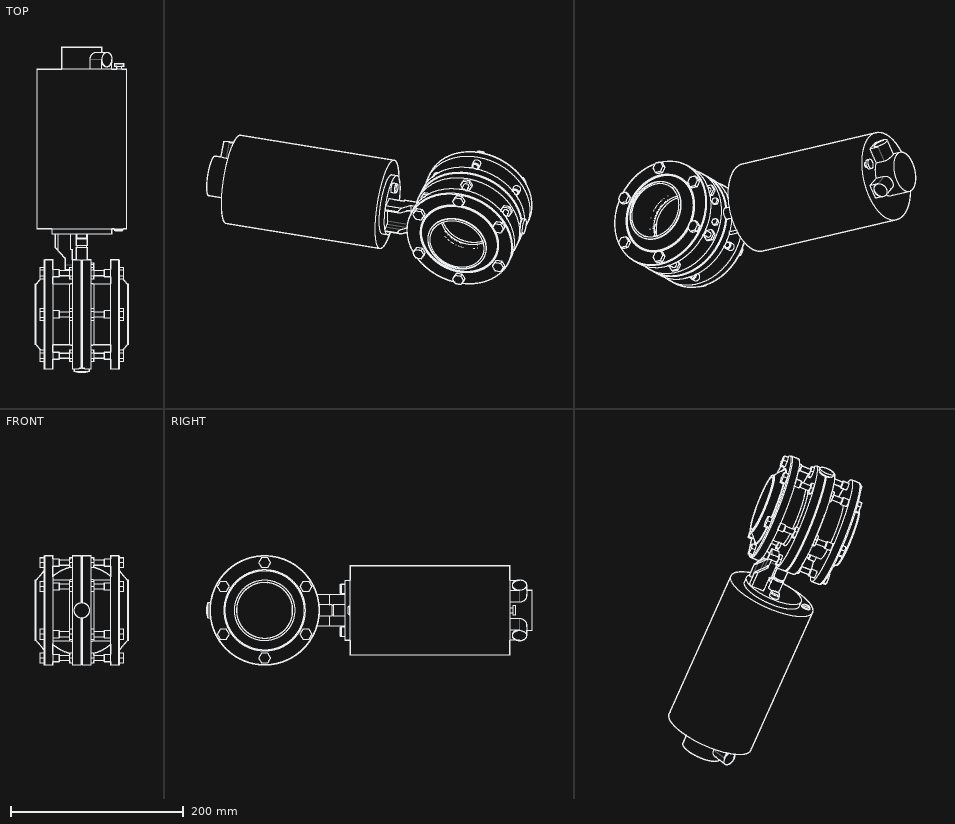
import cadquery as cq
import math


overall_width = 108.31
overall_length = 377.46

flange_radius = 63.5
bore_radius = 32.5
neck_radius = 35.3
housing_half_width = 11.0
neck_end = 14.2
seam_width = 1.2
seam_depth = 0.6
neck_root_radius = 36.2
spigot_radius = 33.9
spigot_end = 7.5

end_flange_inner = 33.4
end_flange_outer = 43.9
flange_edge_axial = 1.5
flange_edge_radial = 0.5
recess_radius = 47.2
recess_depth = 1.0
weld_end_face = overall_width / 2
cone_root_radius = 45.9
stub_radius = 35.1
stub_start = 53.0

bolt_count = 6
bolt_circle_radius = 55.3
hex_across_flats = 11.8
bolt_head_end = 48.6
sleeve_radius = 4.3
sleeve_end = 25.6
sleeve_edge = 0.8
stud_radius = 3.1

disc_half_thickness = 5.0
disc_edge_half_thickness = 3.0
stem_radius = 6.6
stem_top = 77.8
cap_radius = 8.9
cap_seat = -62.0
cap_end = -67.46
cap_rim = -65.9

body_radius = 52.0
body_start = 99.2
body_end = 284.3
base_radius = 34.8
base_start = 93.0
top_boss_radius = 23.4
top_boss_end = cap_end + overall_length
drive_shaft_gap = 2.0
drive_collar_radius = 5.6

base_screw_offset = 24.9
base_screw_radius = 5.6
base_screw_end = 87.4
base_screw_edge_axial = 1.5
base_screw_edge_radial = 0.7

front_screw_x = 42.7
front_screw_radius = 5.2
front_screw_height = 2.4
front_screw_edge = 1.4

vent_x = 43.3
vent_stem_radius = 2.8
vent_head_radius = 5.5
vent_head_start = 287.7
vent_head_end = 290.8

elbow_angles = (45, -45)
elbow_inner = 20.5
elbow_block_outer = 40.6
elbow_outer = 41.6
elbow_radius = 8.4
elbow_axis_y = 295.5

arm_outer_z = 18.4
arm_thickness = 6.4
arm_front_x = -31.0
nose_bevel = 3.3
web_front_x = -19.4
web_back_x = -13.0
slope_start = 78.0
slope_end = 65.0
foot_top = 75.4
bracket_end = 52.0
inner_corner_radius = 2.7
bracket_end_radius = 5.5
bracket_nut_y = 55.8
bracket_nut_across_flats = 6.7


def x_cylinder(radius, start, end, y=0.0, z=0.0):
    """Cylinder along X from start to end, centred on (y, z)."""
    return cq.Workplane("YZ", origin=(start, 0, 0)).center(y, z).circle(radius).extrude(end - start)


def x_hexagon(across_flats, start, end, y, z):
    """Hexagonal prism along X with two corners pointing along Y."""
    across_corners = across_flats / math.cos(math.pi / 6)
    sketch = cq.Workplane("YZ", origin=(start, 0, 0)).center(y, z).polygon(6, across_corners)
    return sketch.extrude(end - start)


def y_cylinder(radius, start, end, x=0.0, z=0.0):
    """Cylinder along +Y from start to end, centred on (x, z)."""
    return cq.Workplane("XZ", origin=(x, start, z)).circle(radius).extrude(start - end)


def box_between(x_range, y_range, z_range):
    """Axis-aligned box given by its limits."""
    sizes = [high - low for low, high in (x_range, y_range, z_range)]
    corner = (x_range[0], y_range[0], z_range[0])
    return cq.Workplane("XY").box(*sizes, centered=False).translate(corner)


def revolve_about_x(points):
    """Solid of revolution about X from (x, radius) points."""
    return cq.Workplane("XY").polyline(points).close().revolve(360, (0, 0, 0), (1, 0, 0))


def on_side(right_hand_body, side):
    """The +X body itself, or its mirror image for side = -1."""
    return right_hand_body if side > 0 else right_hand_body.mirror("YZ")


def make_housing_half(side):
    half = revolve_about_x([
        (spigot_end, bore_radius),
        (0, bore_radius),
        (0, flange_radius - seam_depth),
        (seam_width / 2, flange_radius - seam_depth),
        (seam_width / 2, flange_radius),
        (housing_half_width, flange_radius),
        (housing_half_width, neck_root_radius),
        (neck_end, neck_radius),
        (neck_end, spigot_radius),
        (spigot_end, spigot_radius),
    ])
    half = half.cut(y_cylinder(stem_radius, -flange_radius, flange_radius))
    half = half.cut(y_cylinder(cap_radius, cap_end, cap_seat))
    half = on_side(half, side)

    if side > 0:
        nut_z = arm_outer_z - bracket_end_radius
        for z in (nut_z, -nut_z):
            nut = x_hexagon(bracket_nut_across_flats, housing_half_width, neck_end, bracket_nut_y, z)
            half = half.union(nut)
    return half


def make_flange_bolt(y, z):
    head = x_hexagon(hex_across_flats, end_flange_outer, bolt_head_end, y, z)
    sleeve = x_cylinder(sleeve_radius, sleeve_end, end_flange_inner, y, z)
    sleeve = sleeve.faces("<X").chamfer(sleeve_edge)
    stud = x_cylinder(stud_radius, housing_half_width, bolt_head_end, y, z)
    nut = x_hexagon(hex_across_flats, housing_half_width, neck_end, y, z)
    return stud.union(head).union(sleeve).union(nut)


def make_weld_end(side):
    end = revolve_about_x([
        (spigot_end, bore_radius),
        (spigot_end, spigot_radius),
        (neck_end, spigot_radius),
        (neck_end, neck_radius),
        (end_flange_inner, neck_radius),
        (end_flange_inner, flange_radius),
        (end_flange_outer - flange_edge_axial, flange_radius),
        (end_flange_outer, flange_radius - flange_edge_radial),
        (end_flange_outer, recess_radius),
        (end_flange_outer - recess_depth, recess_radius),
        (end_flange_outer - recess_depth, cone_root_radius),
        (end_flange_outer, cone_root_radius),
        (stub_start, stub_radius),
        (weld_end_face, stub_radius),
        (weld_end_face, bore_radius),
    ])
    for index in range(bolt_count):
        angle = math.radians(90 + index * 360 / bolt_count)
        y = bolt_circle_radius * math.cos(angle)
        z = bolt_circle_radius * math.sin(angle)
        end = end.union(make_flange_bolt(y, z))
    return on_side(end, side)


def dome_point(rim_radius, height):
    """(radius, drop below the apex) halfway along a spherical dome's profile."""
    sphere_radius = (rim_radius**2 + height**2) / (2 * height)
    half_angle = math.asin(rim_radius / sphere_radius) / 2
    return sphere_radius * math.sin(half_angle), sphere_radius * (1 - math.cos(half_angle))


def make_disc():
    lens_mid = dome_point(bore_radius, disc_half_thickness - disc_edge_half_thickness)
    plate = (
        cq.Workplane("XY")
        .moveTo(-disc_edge_half_thickness, bore_radius)
        .lineTo(disc_edge_half_thickness, bore_radius)
        .threePointArc((disc_half_thickness - lens_mid[1], lens_mid[0]), (disc_half_thickness, 0))
        .lineTo(-disc_half_thickness, 0)
        .threePointArc((lens_mid[1] - disc_half_thickness, lens_mid[0]), (-disc_edge_half_thickness, bore_radius))
        .close()
        .revolve(360, (0, 0, 0), (1, 0, 0))
    )

    stem_start = math.sqrt(bore_radius**2 - stem_radius**2)
    upper_stem = y_cylinder(stem_radius, stem_start, stem_top)
    lower_stem = y_cylinder(stem_radius, cap_seat, -stem_start)

    dome_mid = dome_point(cap_radius, cap_rim - cap_end)
    cap = (
        cq.Workplane("XY")
        .moveTo(0, cap_seat)
        .lineTo(cap_radius, cap_seat)
        .lineTo(cap_radius, cap_rim)
        .threePointArc((dome_mid[0], cap_end + dome_mid[1]), (0, cap_end))
        .close()
        .revolve(360, (0, 0, 0), (0, 1, 0))
    )
    return plate.union(upper_stem).union(lower_stem).union(cap)


def make_elbow(angle):
    """Air connection with a round face pointing outwards at the given angle."""
    block = box_between(
        (elbow_inner, elbow_block_outer),
        (body_end, elbow_axis_y),
        (-elbow_radius, elbow_radius),
    )
    barrel = x_cylinder(elbow_radius, elbow_inner, elbow_outer, elbow_axis_y)
    return block.union(barrel).rotate((0, 0, 0), (0, 1, 0), -angle)


def make_base_screw(z):
    """Screw head under the base, with a slender bevel on its free edge."""
    bevel_start = base_screw_end + base_screw_edge_axial
    tip_radius = base_screw_radius - base_screw_edge_radial
    profile = [
        (0, base_start),
        (base_screw_radius, base_start),
        (base_screw_radius, bevel_start),
        (tip_radius, base_screw_end),
        (0, base_screw_end),
    ]
    head = cq.Workplane("XY").polyline(profile).close().revolve(360, (0, 0, 0), (0, 1, 0))
    return head.translate((0, 0, z))


def make_actuator():
    actuator = y_cylinder(body_radius, body_start, body_end)
    actuator = actuator.union(y_cylinder(base_radius, base_start, body_start))
    actuator = actuator.union(y_cylinder(top_boss_radius, body_end, top_boss_end))
    for angle in elbow_angles:
        actuator = actuator.union(make_elbow(angle))

    groove_end = stem_top + drive_shaft_gap
    actuator = actuator.union(y_cylinder(drive_collar_radius, stem_top, base_start))
    actuator = actuator.union(y_cylinder(stem_radius, groove_end, base_start))

    for z in (base_screw_offset, -base_screw_offset):
        actuator = actuator.union(make_base_screw(z))

    front_screw = y_cylinder(front_screw_radius, body_start - front_screw_height, body_start, x=front_screw_x)
    actuator = actuator.union(front_screw.faces("<Y").chamfer(front_screw_edge))

    actuator = actuator.union(y_cylinder(vent_stem_radius, body_end, vent_head_start, x=vent_x))
    return actuator.union(y_cylinder(vent_head_radius, vent_head_start, vent_head_end, x=vent_x))


def make_bracket():
    arm_inner_z = arm_outer_z - arm_thickness

    nose_z = arm_outer_z - nose_bevel
    nose_radius = nose_z - arm_inner_z
    round_x = arm_front_x + nose_radius
    bevel_x = arm_front_x + nose_bevel
    section = (
        cq.Workplane("XZ", origin=(0, base_start, 0))
        .moveTo(-housing_half_width, arm_outer_z)
        .lineTo(bevel_x, arm_outer_z)
        .lineTo(arm_front_x, nose_z)
        .radiusArc((round_x, arm_inner_z), -nose_radius)
        .lineTo(web_front_x, arm_inner_z)
        .lineTo(web_front_x, -arm_inner_z)
        .lineTo(round_x, -arm_inner_z)
        .radiusArc((arm_front_x, -nose_z), -nose_radius)
        .lineTo(bevel_x, -arm_outer_z)
        .lineTo(-housing_half_width, -arm_outer_z)
        .close()
    )
    channel = section.extrude(base_start - bracket_end)
    margin = 0.5 * inner_corner_radius
    inner_corners = cq.selectors.BoxSelector(
        (web_front_x - margin, bracket_end, -arm_inner_z - margin),
        (web_front_x + margin, base_start, arm_inner_z + margin),
    )
    channel = channel.edges("|Y").edges(inner_corners).fillet(inner_corner_radius)

    outline = (
        cq.Workplane("XY", origin=(0, 0, -arm_outer_z))
        .polyline([
            (web_back_x, base_start),
            (arm_front_x, base_start),
            (arm_front_x, slope_start),
            (web_front_x, slope_end),
            (web_front_x, bracket_end),
            (-housing_half_width, bracket_end),
            (-housing_half_width, foot_top),
            (web_back_x, foot_top),
        ])
        .close()
        .extrude(2 * arm_outer_z)
    )
    bracket = channel.intersect(outline)
    return bracket.edges("|X and <Y and (>Z or <Z)").fillet(bracket_end_radius)


housing_halves = [make_housing_half(side) for side in (1, -1)]
weld_ends = [make_weld_end(side) for side in (1, -1)]
disc = make_disc()
actuator = make_actuator()
bracket = make_bracket()

bodies = [*housing_halves, *weld_ends, disc, actuator, bracket]
result = cq.Compound.makeCompound([body.val() for body in bodies])